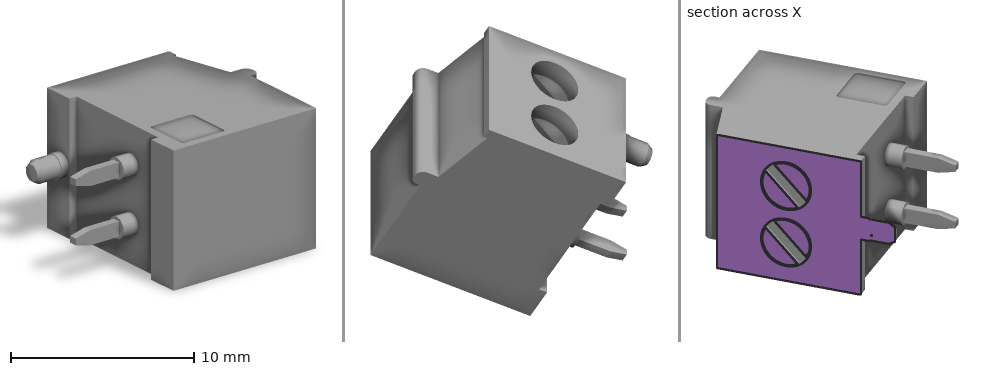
import cadquery as cq
import math


width = 11.3
length = 8.3
body_height = 9.85
foot_width = 2.0
foot_height = 0.5

lip_width = 0.6
lip_height = 8.45
slope_start_height = 8.25
slope_angle = 15.0
ridge_height = 10.45
ridge_x = 4.4
ridge_width = 1.0
ridge_outer_radius = 0.5
ridge_inner_radius = 0.3

pitch = 3.5
middle_z = length / 2
pole_z = [middle_z - pitch / 2, middle_z + pitch / 2]

pin_x = 6.85
pin_collar_diameter = 1.3
pin_collar_reach = 0.5
pin_thickness = 0.5
pin_breadth = 0.9
pin_tip_breadth = 0.4
pin_taper_length = 1.0
pin_reach = 3.5

peg_x = 1.2
peg_collar_diameter = 1.5
peg_collar_reach = 0.5
peg_diameter = 1.4
peg_tip_diameter = 1.0
peg_chamfer_length = 0.35
peg_reach = 2.0

screw_y = 4.4
bore_diameter = 2.9
screw_diameter = 2.8
screw_recess = 1.1
screw_head_height = 0.6
slot_width = 0.7
slot_depth = 0.5
slot_angle = 45.0

panel_size = 3.0
panel_corner_radius = 0.2
panel_depth = 0.1
panel_edge_gap = 0.5
panel_bottom = 1.0


def make_housing():
    """Side profile extruded along the pole row."""
    slope_rise = (ridge_x - lip_width) * math.tan(math.radians(slope_angle))
    ridge_end = ridge_x + ridge_width
    diagonal = math.sqrt(0.5)
    outer_x = ridge_x + ridge_outer_radius
    outer_y = ridge_height - ridge_outer_radius
    inner_x = ridge_end - ridge_inner_radius
    inner_y = ridge_height - ridge_inner_radius
    outer_mid = (outer_x - ridge_outer_radius * diagonal, outer_y + ridge_outer_radius * diagonal)
    inner_mid = (inner_x + ridge_inner_radius * diagonal, inner_y + ridge_inner_radius * diagonal)
    return (
        cq.Workplane("XY")
        .moveTo(0, 0)
        .lineTo(foot_width, 0)
        .lineTo(foot_width, foot_height)
        .lineTo(width - foot_width, foot_height)
        .lineTo(width - foot_width, 0)
        .lineTo(width, 0)
        .lineTo(width, body_height)
        .lineTo(ridge_end, body_height)
        .lineTo(ridge_end, inner_y)
        .threePointArc(inner_mid, (inner_x, ridge_height))
        .lineTo(outer_x, ridge_height)
        .threePointArc(outer_mid, (ridge_x, outer_y))
        .lineTo(ridge_x, slope_start_height + slope_rise)
        .lineTo(lip_width, slope_start_height)
        .lineTo(lip_width, lip_height)
        .lineTo(0, lip_height)
        .close()
        .extrude(length)
    )


def make_pin(z):
    """Round collar under the housing with a flat blade that tapers to its tip."""
    collar = (
        cq.Workplane("XZ", origin=(pin_x, foot_height, z))
        .circle(pin_collar_diameter / 2)
        .extrude(foot_height + pin_collar_reach)
    )
    taper_y = pin_taper_length - pin_reach
    blade = (
        cq.Workplane("YZ", origin=(pin_x, 0, z))
        .polyline([
            (foot_height, -pin_breadth / 2),
            (taper_y, -pin_breadth / 2),
            (-pin_reach, -pin_tip_breadth / 2),
            (-pin_reach, pin_tip_breadth / 2),
            (taper_y, pin_breadth / 2),
            (foot_height, pin_breadth / 2),
        ])
        .close()
        .extrude(pin_thickness / 2, both=True)
    )
    return collar.union(blade)


def make_peg():
    """Stepped round peg with a chamfered tip, revolved about its own axis."""
    chamfer_y = peg_chamfer_length - peg_reach
    return (
        cq.Workplane("XY", origin=(peg_x, 0, middle_z))
        .polyline([
            (0, foot_height),
            (peg_collar_diameter / 2, foot_height),
            (peg_collar_diameter / 2, -peg_collar_reach),
            (peg_diameter / 2, -peg_collar_reach),
            (peg_diameter / 2, chamfer_y),
            (peg_tip_diameter / 2, -peg_reach),
            (0, -peg_reach),
        ])
        .close()
        .revolve(360, (0, 0), (0, 1))
    )


def make_bore(z):
    """Space for one screw, from the X = 0 face to the underside of the head."""
    return (
        cq.Workplane("YZ", origin=(0, screw_y, z))
        .circle(bore_diameter / 2)
        .extrude(screw_recess + screw_head_height)
    )


def make_screw(z):
    """Slotted screw head standing on the bore floor with a narrow gap around it."""
    head = (
        cq.Workplane("YZ", origin=(screw_recess, screw_y, z))
        .circle(screw_diameter / 2)
        .extrude(screw_head_height)
    )
    slot = (
        cq.Workplane("YZ", origin=(screw_recess, screw_y, z))
        .transformed(rotate=(0, 0, slot_angle))
        .rect(bore_diameter, slot_width)
        .extrude(slot_depth)
    )
    return head.cut(slot)


def make_panel_recess():
    """Rounded square sunk into the top face near the plain side."""
    center_x = width - panel_edge_gap - panel_size / 2
    center_y = panel_bottom + panel_size / 2
    return (
        cq.Workplane("XY", origin=(center_x, center_y, length - panel_depth))
        .rect(panel_size, panel_size)
        .extrude(panel_depth)
        .edges("|Z")
        .fillet(panel_corner_radius)
    )


result = make_housing().cut(make_panel_recess()).union(make_peg())
for z in pole_z:
    result = result.cut(make_bore(z)).union(make_screw(z)).union(make_pin(z))